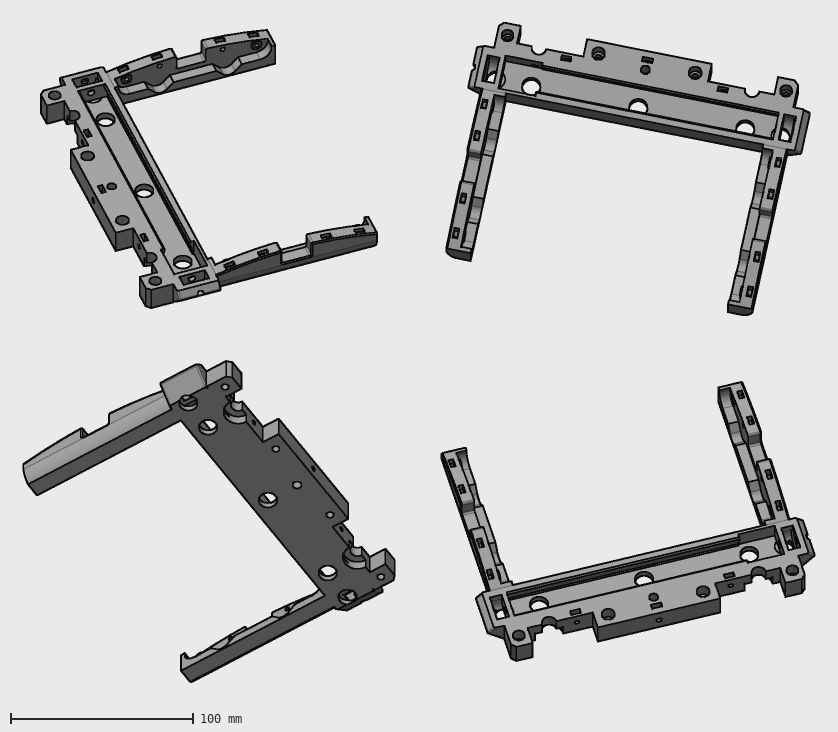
import cadquery as cq
import math


SIN_45 = math.sqrt(0.5)

LENGTH = 186.7
BAR_TOP = 14.0
BAR_FRONT = 15.3
BAR_BACK = 39.8
BASE_HALF = 83.8
TIP_RADIUS = 1.1
END_ROUND = 1.0
TIP_OVERSHOOT = TIP_RADIUS * (math.sqrt(2) - 1)
SHARP_HALF = LENGTH / 2 + TIP_OVERSHOOT
TIP_Z = SHARP_HALF - BASE_HALF
TOP_HALF = SHARP_HALF - (BAR_TOP - TIP_Z)

STRIP_FRONT = 10.3
PAD_INNER = 72.0
PAD_CHAMFER = 2.5
CENTER_PAD_HALF = 34.9
INNER_SCREW_X = 27.0
OUTER_SCREW_X = 78.0
SCREW_Y = 6.9
SCREW_BORE = 4.0
INNER_SCREW_HEAD = 7.0
OUTER_SCREW_HEAD = 6.5
SCREW_HEAD_DEPTH = 8.0
CENTER_HOLE = 4.9
CENTER_HOLE_Y = 10.8
RECESS_X = 59.7
RECESS_BORE = 8.0
RECESS_HEAD = 16.0
RECESS_HEAD_HEIGHT = 6.3

CHANNEL_FLOOR = 4.1
CHANNEL_HALF = 76.7
CHANNEL_Y = 28.0
MOUTH_HALF = 8.0
MOUTH_CHAMFER = 1.0
DOVETAIL_ANGLE = 18.0
ROOT_CHAMFER = 0.7
ENTRY_START = 56.0
ENTRY_FRONT = 18.5
ENTRY_BACK = 37.9
FLOOR_HOLE = 10.0
FLOOR_HOLE_Y = 29.9
FLOOR_HOLE_XS = (-60.0, 0, 60.0)

WHEEL_INNER = 79.7
WHEEL_OUTER = 86.5
WHEEL_RADIUS = 7.5
WHEEL_Y = 27.8
WHEEL_Z = TIP_Z
WHEEL_CHAMFER = 1.1
AXLE_BORE = 4.0
AXLE_BLIND_END = 88.1
BLIND_HOLE_DEPTH = 4.0

ARM_OUTER = 85.9
ARM_INNER = 72.0
ARM_END = 134.0
ARM_MIDDLE = (BAR_BACK + ARM_END) / 2
ARM_PEAK = 19.5
ARM_SIDE_BOTTOM = 8.8
ARM_BOTTOM_INSET = 4.7
ARM_BOTTOM_RADIUS = 15.0
ARM_EDGE_CHAMFER = 0.7
NOTCH_HALF = 8.5
NOTCH_FLOOR = 9.7
NOTCH_RADIUS = 1.1

ARM_WALL = 78.0
ARM_FLOOR = 6.3
RECESS_END = 44.8
RECESS_END_RADIUS = 6.5
DIP_MIDDLE = 20.0
DIP_RADIUS = 5.0
DIP_HALF = 7.5
BOSS_OFFSET = 38.0
BOSS_DIAMETER = 6.0
BOSS_HEIGHT = 0.7
BOSS_Z = 12.5

HEX_HALF_ANGLE = math.pi / 6
NUT_WIDTH = 5.5
NUT_THICKNESS = 2.6
NUT_SCREW = 2.6
BIG_NUT_WIDTH = 5.8
BIG_NUT_SCREW = 3.0
BAR_NUT_X = 43.9
BAR_NUT_Y = 13.3
BAR_NUT_Z = 8.0
CENTER_NUT_Y = 5.0
CENTER_NUT_Z = 6.9
ARM_NUT_X = 82.3
INNER_NUT_OFFSET = 18.5
INNER_NUT_Z = 15.3


def block(x0, x1, y0, y1, z0, z1):
    return cq.Workplane("XY").box(x1 - x0, y1 - y0, z1 - z0, centered=False).translate((x0, y0, z0))


def rod(x, y, z0, z1, diameter):
    """Upright cylinder."""
    return cq.Workplane("XY").circle(diameter / 2).extrude(z1 - z0).translate((x, y, z0))


def x_rod(x0, x1, y, z, diameter):
    """Cylinder lying along X."""
    return cq.Workplane("YZ").circle(diameter / 2).extrude(x1 - x0).translate((x0, y, z))


def both_sides(shape):
    return shape.union(shape.mirror("YZ"))


def bar():
    """Bar with pointed 45 degree ends, rounded tips and rounded end edges."""
    profile = [
        (-BASE_HALF, 0),
        (BASE_HALF, 0),
        (SHARP_HALF, TIP_Z),
        (TOP_HALF, BAR_TOP),
        (-TOP_HALF, BAR_TOP),
        (-SHARP_HALF, TIP_Z),
    ]
    body = cq.Workplane("XZ").polyline(profile).close().extrude(BAR_FRONT - BAR_BACK)
    body = body.translate((0, BAR_FRONT, 0))
    body = body.edges("<X or >X").fillet(TIP_RADIUS)
    right_end = cq.selectors.BoxSelector((BASE_HALF, 0, 0), (LENGTH, ARM_END, BAR_TOP))
    left_end = cq.selectors.BoxSelector((-LENGTH, 0, 0), (-BASE_HALF, ARM_END, BAR_TOP))
    return body.faces("<Y or >Y").edges(right_end + left_end).fillet(END_ROUND)


def front_strip():
    strip = block(-BASE_HALF, BASE_HALF, STRIP_FRONT, BAR_FRONT, 0, BAR_TOP)
    corner_pad = block(-BASE_HALF, -PAD_INNER, 0, BAR_FRONT, 0, BAR_TOP)
    corner_pad = corner_pad.edges("|Z and <X and <Y").chamfer(PAD_CHAMFER)
    center_pad = block(-CENTER_PAD_HALF, CENTER_PAD_HALF, 0, BAR_FRONT, 0, BAR_TOP)
    return strip.union(center_pad).union(both_sides(corner_pad))


def front_holes():
    cuts = rod(0, CENTER_HOLE_Y, 0, BAR_TOP, CENTER_HOLE)
    for x, head_bore in ((INNER_SCREW_X, INNER_SCREW_HEAD), (OUTER_SCREW_X, OUTER_SCREW_HEAD)):
        screw = rod(x, SCREW_Y, 0, BAR_TOP, SCREW_BORE)
        head = rod(x, SCREW_Y, BAR_TOP - SCREW_HEAD_DEPTH, BAR_TOP, head_bore)
        cuts = cuts.union(both_sides(screw.union(head)))
    neck = rod(RECESS_X, STRIP_FRONT, 0, BAR_TOP, RECESS_BORE)
    head = rod(RECESS_X, STRIP_FRONT, 0, RECESS_HEAD_HEIGHT, RECESS_HEAD)
    return cuts.union(both_sides(neck.union(head)))


def channel():
    """Dovetail channel with the straight entry pocket and the holes in its floor."""
    throat_half = MOUTH_HALF - MOUTH_CHAMFER
    throat_z = BAR_TOP - MOUTH_CHAMFER
    root_z = CHANNEL_FLOOR + ROOT_CHAMFER
    root_half = throat_half + (throat_z - root_z) * math.tan(math.radians(DOVETAIL_ANGLE))
    half_profile = [
        (root_half - ROOT_CHAMFER, CHANNEL_FLOOR),
        (root_half, root_z),
        (throat_half, throat_z),
        (MOUTH_HALF, BAR_TOP),
    ]
    profile = half_profile + [(-y, z) for y, z in reversed(half_profile)]
    cuts = cq.Workplane("YZ").polyline(profile).close().extrude(CHANNEL_HALF + ENTRY_START)
    cuts = cuts.translate((-CHANNEL_HALF, CHANNEL_Y, 0))
    cuts = cuts.union(block(ENTRY_START, CHANNEL_HALF, ENTRY_FRONT, ENTRY_BACK, CHANNEL_FLOOR, BAR_TOP))
    for x in FLOOR_HOLE_XS:
        cuts = cuts.union(rod(x, FLOOR_HOLE_Y, 0, BAR_TOP, FLOOR_HOLE))
    return cuts


def wheel_pocket():
    """Round-bottomed pocket at the +X end with the blind hole below it."""
    wheel = x_rod(WHEEL_INNER, WHEEL_OUTER, WHEEL_Y, WHEEL_Z, 2 * WHEEL_RADIUS)
    wheel = wheel.faces(">X").chamfer(WHEEL_CHAMFER)
    opening = block(
        WHEEL_INNER, WHEEL_OUTER, WHEEL_Y - WHEEL_RADIUS, WHEEL_Y + WHEEL_RADIUS, WHEEL_Z, BAR_TOP
    )
    blind_hole = rod(WHEEL_INNER, FLOOR_HOLE_Y, 0, BLIND_HOLE_DEPTH, FLOOR_HOLE)
    return opening.union(wheel).union(blind_hole)


def axle_bores():
    blind_bore = x_rod(-AXLE_BLIND_END, -CHANNEL_HALF, WHEEL_Y, WHEEL_Z, AXLE_BORE)
    open_bore = x_rod(CHANNEL_HALF, SHARP_HALF, WHEEL_Y, WHEEL_Z, AXLE_BORE)
    return blind_bore.union(open_bore)


def arm_body():
    """Arm on the -X side, arched and notched on top, curved in along the outer bottom edge."""
    half_length = ARM_END - ARM_MIDDLE
    outline = (
        cq.Workplane("YZ")
        .moveTo(-half_length, 0)
        .lineTo(-half_length, BAR_TOP)
        .threePointArc((0, ARM_PEAK), (half_length, BAR_TOP))
        .lineTo(half_length, 0)
        .close()
        .extrude(ARM_OUTER - ARM_INNER)
        .translate((-ARM_OUTER, ARM_MIDDLE, 0))
    )
    notch_start = ARM_MIDDLE - NOTCH_HALF
    notch_end = ARM_MIDDLE + NOTCH_HALF
    body = outline.cut(block(-ARM_OUTER, -ARM_INNER, notch_start, notch_end, NOTCH_FLOOR, ARM_PEAK))
    notch_zone = cq.selectors.BoxSelector(
        (-LENGTH, notch_start - NOTCH_RADIUS, ARM_SIDE_BOTTOM),
        (0, notch_end + NOTCH_RADIUS, ARM_PEAK),
    )
    body = body.edges("|X").edges(notch_zone).fillet(NOTCH_RADIUS)
    upper_zone = cq.selectors.BoxSelector((-LENGTH, 0, ARM_SIDE_BOTTOM), (0, LENGTH, ARM_PEAK))
    body = body.faces("<X").edges(upper_zone).chamfer(ARM_EDGE_CHAMFER)
    section = (
        cq.Workplane("XZ")
        .moveTo(-ARM_INNER, 0)
        .lineTo(-ARM_INNER, ARM_PEAK)
        .lineTo(-ARM_OUTER, ARM_PEAK)
        .lineTo(-ARM_OUTER, ARM_SIDE_BOTTOM)
        .radiusArc((-ARM_OUTER + ARM_BOTTOM_INSET, 0), -ARM_BOTTOM_RADIUS)
        .close()
        .extrude(-LENGTH)
    )
    return body.intersect(section)


def arm_recess():
    """Open-topped recess whose floor has two round-bottomed dips and rounded ends."""
    ramp = DIP_HALF - DIP_RADIUS * SIN_45
    ramp_foot = ARM_FLOOR - ramp
    dip_bottom = ramp_foot - DIP_RADIUS * (1 - SIN_45)
    end_z = ARM_FLOOR + RECESS_END_RADIUS
    end_start = RECESS_END - RECESS_END_RADIUS
    bend = RECESS_END_RADIUS * SIN_45
    path = (
        cq.Workplane("YZ")
        .moveTo(-RECESS_END, ARM_PEAK)
        .lineTo(-RECESS_END, end_z)
        .threePointArc((-end_start - bend, end_z - bend), (-end_start, ARM_FLOOR))
    )
    for middle in (-DIP_MIDDLE, DIP_MIDDLE):
        path = (
            path.lineTo(middle - DIP_HALF, ARM_FLOOR)
            .lineTo(middle - DIP_HALF + ramp, ramp_foot)
            .threePointArc((middle, dip_bottom), (middle + DIP_HALF - ramp, ramp_foot))
            .lineTo(middle + DIP_HALF, ARM_FLOOR)
        )
    path = (
        path.lineTo(end_start, ARM_FLOOR)
        .threePointArc((end_start + bend, end_z - bend), (RECESS_END, end_z))
        .lineTo(RECESS_END, ARM_PEAK)
        .close()
    )
    return path.extrude(ARM_WALL - ARM_INNER).translate((-ARM_WALL, ARM_MIDDLE, 0))


def nut_slot(width, z, top):
    """Slot for a hexagonal nut standing on a point, centred on the origin in X and Y."""
    side_z = z - width / 2 * math.tan(HEX_HALF_ANGLE)
    point_z = z - width / 2 / math.cos(HEX_HALF_ANGLE)
    profile = [
        (-width / 2, top),
        (-width / 2, side_z),
        (0, point_z),
        (width / 2, side_z),
        (width / 2, top),
    ]
    return cq.Workplane("XZ").polyline(profile).close().extrude(NUT_THICKNESS / 2, both=True)


def front_nut_trap(x, y, z, width, screw, face_y):
    """Nut trap with its screw hole coming from the front."""
    slot = nut_slot(width, z, BAR_TOP).translate((x, y, 0))
    hole_length = y + NUT_THICKNESS / 2 - face_y
    hole = cq.Workplane("XZ").circle(screw / 2).extrude(-hole_length).translate((x, face_y, z))
    return slot.union(hole)


def arm_nut_trap(offset, z):
    """Nut trap in the arm wall with its screw hole coming from the recess."""
    y = ARM_MIDDLE + offset
    slot = nut_slot(NUT_WIDTH, z, ARM_PEAK)
    slot = slot.rotate((0, 0, 0), (0, 0, 1), 90).translate((-ARM_NUT_X, y, 0))
    hole = x_rod(-ARM_NUT_X - NUT_THICKNESS / 2, -ARM_WALL + BOSS_HEIGHT, y, z, NUT_SCREW)
    return slot.union(hole)


def arm():
    body = arm_body().cut(arm_recess())
    for side in (-1, 1):
        boss_y = ARM_MIDDLE + side * BOSS_OFFSET
        body = body.union(x_rod(-ARM_WALL, -ARM_WALL + BOSS_HEIGHT, boss_y, BOSS_Z, BOSS_DIAMETER))
        body = body.cut(arm_nut_trap(side * BOSS_OFFSET, BOSS_Z))
        body = body.cut(arm_nut_trap(side * INNER_NUT_OFFSET, INNER_NUT_Z))
    return body


result = bar().union(front_strip()).union(both_sides(arm()))
result = result.cut(front_holes()).cut(channel()).cut(both_sides(wheel_pocket())).cut(axle_bores())
for nut_x in (-BAR_NUT_X, BAR_NUT_X):
    result = result.cut(
        front_nut_trap(nut_x, BAR_NUT_Y, BAR_NUT_Z, NUT_WIDTH, NUT_SCREW, STRIP_FRONT)
    )
result = result.cut(front_nut_trap(0, CENTER_NUT_Y, CENTER_NUT_Z, BIG_NUT_WIDTH, BIG_NUT_SCREW, 0))